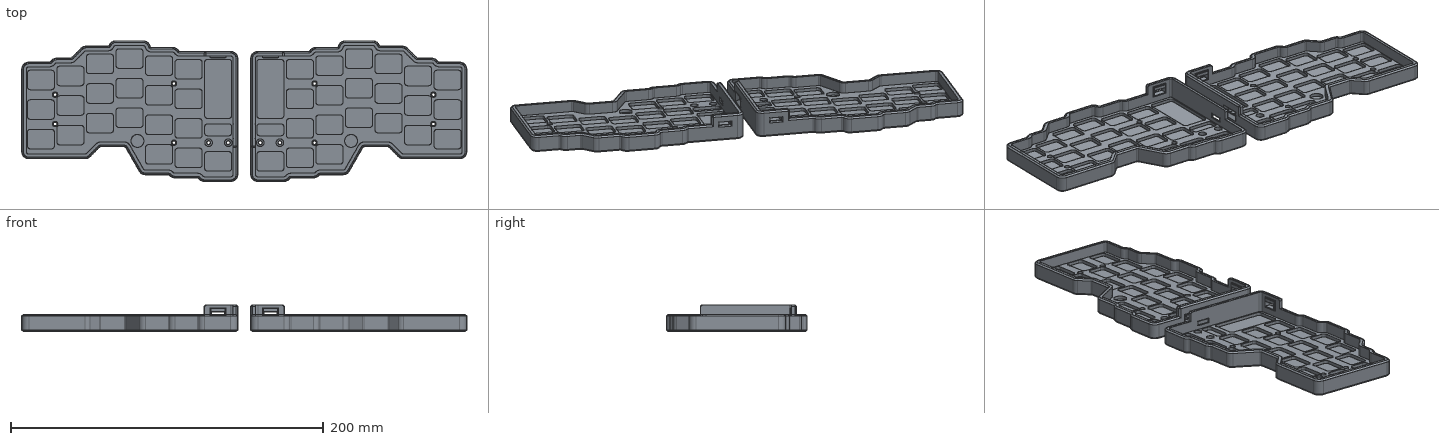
import cadquery as cq
HALF_LENGTH = 142.5
CENTRE_GAP = 8.3
INNER_X = -CENTRE_GAP / 2
BACK_Y = 45.0
FRONT_Y = -45.0

RIM_HEIGHT = 10.8
LIP_HEIGHT = 17.0
WALL = 3.0
CORNER_RADIUS = 4.5
CREASE_RADIUS = 1.0
EDGE_CHAMFER = 1.0
FLOOR_TOP = 4.0
POCKET_FLOOR = 2.0

PITCH = 18.9
KEY_WIDTH = 17.5
KEY_HEIGHT = 12.5
KEY_CORNER = 2.0
FIRST_COLUMN_X = -130.2

BACK_STEPS = [31.3, 34.0, 41.5, BACK_Y, 40.7, 38.2]
SIDE_FRONT_Y = -30.5
ARCH_Y = -22.8
FRONT_STEPS = [-40.7, -42.7, FRONT_Y]
BACK_SLOPE_HEAD_X = -101.0
ARCH_START_X = -94.3
ARCH_END_X = -78.0

REAR_KEY_Y = [20.0, 22.5, 30.2, 33.5, 29.0, 26.8, -32.2]
KEY_COUNTS = [3, 3, 3, 3, 4, 4, 1]
CONTROLLER_Y = 14.2
CONTROLLER_HEIGHT = 38.0
BUTTON_Y = -12.0
BUTTON_HEIGHT = 7.7

SEAT_FLOOR = 1.0
SCREW_POINTS = [(-121.0, 10.5), (-121.0, -8.3), (-45.0, 17.7), (-45.0, -20.2)]
SCREW_DIAMETER = 2.3
SCREW_SEAT_DIAMETER = 3.5
PEG_POINTS = [(-22.8, -20.2), (-10.3, -20.2)]
PEG_SEAT_DIAMETER = 4.8
ENCODER_POINT = (-68.5, -19.0)
ENCODER_DIAMETER = 8.3

LIP_START_X = -25.5
LIP_END_Y = -23.4

USB_X = -16.8
USB_WIDTH = 8.5
USB_TOP = 12.5
USB_BOTTOM = 9.0
USB_CHAMFER = 0.43
FRAME_WIDTH = 10.0
FRAME_TOP = 15.0
FRAME_BOTTOM = 8.3
FRAME_DEPTH = 1.0

JACK_Y = -12.8
JACK_Z = 8.0
JACK_WIDTH = 9.0
JACK_HEIGHT = 2.8
FLARE_DEPTH = 2.0


def column_x(index):
    return FIRST_COLUMN_X + index * PITCH


def left_edge(index):
    return column_x(index) - KEY_WIDTH / 2


def right_edge(index):
    return column_x(index) + KEY_WIDTH / 2


def outline(inset):
    """Stepped tray outline, rounded at its convex corners and, more tightly, at its concave ones."""
    r = CORNER_RADIUS
    left = -HALF_LENGTH + r
    right = INNER_X - r
    arch_rise = ARCH_Y - SIDE_FRONT_Y
    slope_rise = BACK_STEPS[2] - BACK_STEPS[1]
    back = [y - r for y in BACK_STEPS]
    front = [y + r for y in FRONT_STEPS]
    points = [
        (left, back[0]),
        (left_edge(1), back[0]),
        (left_edge(1), back[1]),
        (BACK_SLOPE_HEAD_X - slope_rise, back[1]),
        (BACK_SLOPE_HEAD_X, back[2]),
        (left_edge(3), back[2]),
        (left_edge(3), back[3]),
        (right_edge(3), back[3]),
        (right_edge(3), back[4]),
        (right_edge(4), back[4]),
        (right_edge(4), back[5]),
        (right, back[5]),
        (right, front[2]),
        (left_edge(6), front[2]),
        (left_edge(6), front[1]),
        (left_edge(5), front[1]),
        (left_edge(5), front[0]),
        (left_edge(4), front[0]),
        (ARCH_END_X + r, ARCH_Y + r),
        (ARCH_START_X, ARCH_Y + r),
        (ARCH_START_X - arch_rise, SIDE_FRONT_Y + r),
        (left, SIDE_FRONT_Y + r),
    ]
    base = cq.Workplane("XY").polyline(points).close()
    return base.offset2D(r + CREASE_RADIUS).offset2D(-CREASE_RADIUS - inset)


def chamfered_block(height):
    return outline(0).extrude(height).faces("<Z or >Z").chamfer(EDGE_CHAMFER)


def box(x0, x1, y0, y1, z0, z1):
    block = cq.Workplane("XY").box(x1 - x0, y1 - y0, z1 - z0, centered=False)
    return block.translate((x0, y0, z0))


def shell():
    lip_zone = box(LIP_START_X, 0, LIP_END_Y, BACK_Y, RIM_HEIGHT - EDGE_CHAMFER, LIP_HEIGHT)
    lip = outline(0).extrude(LIP_HEIGHT).intersect(lip_zone)
    lip = lip.edges(">Z or (|Z and (<X or <Y))").chamfer(EDGE_CHAMFER)
    cavity = outline(WALL).extrude(LIP_HEIGHT).translate((0, 0, FLOOR_TOP))
    return chamfered_block(RIM_HEIGHT).union(lip).cut(cavity)


def pocket(x, y, height):
    block = cq.Workplane("XY").box(KEY_WIDTH, height, LIP_HEIGHT, centered=(True, True, False))
    return block.edges("|Z").fillet(KEY_CORNER).translate((x, y, POCKET_FLOOR))


def pockets():
    last = len(KEY_COUNTS) - 1
    places = [(last, CONTROLLER_Y, CONTROLLER_HEIGHT), (last, BUTTON_Y, BUTTON_HEIGHT)]
    for column, count in enumerate(KEY_COUNTS):
        for row in range(count):
            places.append((column, REAR_KEY_Y[column] - row * PITCH, KEY_HEIGHT))
    cuts = cq.Workplane("XY")
    for column, y, height in places:
        cuts = cuts.add(pocket(column_x(column), y, height))
    inside = outline(WALL).extrude(LIP_HEIGHT)
    return cuts.combine().intersect(inside)


def cylinders(points, diameter, bottom):
    plane = cq.Workplane("XY").workplane(offset=bottom)
    return plane.pushPoints(points).circle(diameter / 2).extrude(FLOOR_TOP)


def usb_frame():
    inner_y = BACK_STEPS[-1] - WALL
    x0 = USB_X - FRAME_WIDTH / 2
    frame = box(x0, x0 + FRAME_WIDTH, inner_y - FRAME_DEPTH, inner_y + WALL / 2, FRAME_BOTTOM, FRAME_TOP)
    return frame.faces("<Y").chamfer(USB_CHAMFER)


def usb_opening():
    x0 = USB_X - USB_WIDTH / 2
    front_y = BACK_STEPS[-1] - 2 * WALL
    return box(x0, x0 + USB_WIDTH, front_y, BACK_Y, USB_BOTTOM, USB_TOP)


def jack_slot():
    centre = (INNER_X, JACK_Y, JACK_Z)
    grow = 2 * FLARE_DEPTH
    slot = cq.Workplane("YZ", origin=centre).rect(JACK_WIDTH, JACK_HEIGHT).extrude(-2 * WALL)
    flare = (
        cq.Workplane("YZ", origin=centre)
        .rect(JACK_WIDTH + grow, JACK_HEIGHT + grow)
        .workplane(offset=-FLARE_DEPTH)
        .rect(JACK_WIDTH, JACK_HEIGHT)
        .loft()
    )
    return slot.union(flare)


def tray():
    body = shell().cut(pockets())
    body = body.cut(cylinders(SCREW_POINTS + PEG_POINTS, SCREW_DIAMETER, 0))
    body = body.cut(cylinders(SCREW_POINTS, SCREW_SEAT_DIAMETER, SEAT_FLOOR))
    body = body.cut(cylinders(PEG_POINTS, PEG_SEAT_DIAMETER, SEAT_FLOOR))
    body = body.cut(cylinders([ENCODER_POINT], ENCODER_DIAMETER, POCKET_FLOOR))
    return body.union(usb_frame()).cut(usb_opening()).cut(jack_slot())


left_tray = tray()
right_tray = left_tray.mirror("YZ")
result = cq.Compound.makeCompound([left_tray.val(), right_tray.val()])